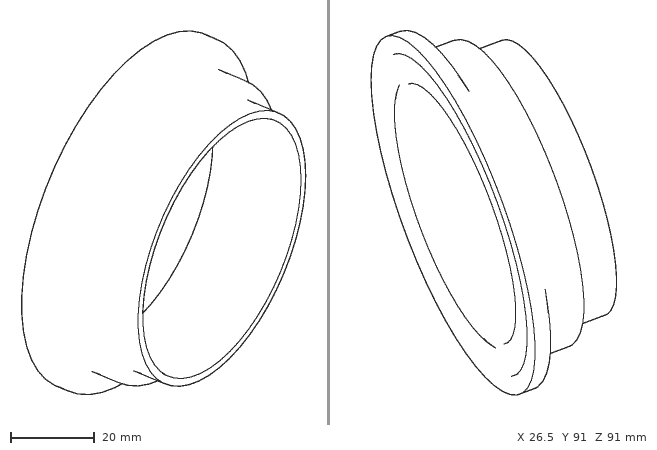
import cadquery as cq
import math

length = 26.5
flange_radius = 91 / 2
body_radius = 78 / 2
tube_radius = 70 / 2
bore_radius = 66 / 2

rim_width = 3.5
rim_round = 1.0
taper_angle = 20
neck_fillet = 2.0
neck_end = 7.9

shoulder_start = 15.0
shoulder_end = 18.1
shoulder_pull = 2.8

recess_radius = 81.7 / 2
recess_depth = 1.6
recess_edge_round = 0.3
recess_floor_fillet = 0.3

groove_outer_radius = 37.45
groove_edge_round = 0.6
groove_arc_radius = 2.5
groove_entry_angle = 22
groove_exit_angle = 48

lip_outer_round = 1.0
lip_inner_round = 0.5


def arc_point(centre, radius, angle):
    """Point on an arc; the angle in degrees turns from +X (axial) toward the radial direction."""
    turn = math.radians(angle)
    return (centre[0] + radius * math.cos(turn), centre[1] + radius * math.sin(turn))


def add_arc(path, centre, radius, start_angle, end_angle):
    """Continue the path along a circular arc from one angle to another, in degrees."""
    middle = arc_point(centre, radius, (start_angle + end_angle) / 2)
    return path.threePointArc(middle, arc_point(centre, radius, end_angle))


def add_flange(path):
    """Rim, rounded corner, tapered back and the fillet into the body."""
    rim_centre = (rim_width, flange_radius - rim_round)
    neck_centre = (neck_end, body_radius + neck_fillet)
    path = path.lineTo(0, flange_radius).lineTo(rim_width, flange_radius)
    path = add_arc(path, rim_centre, rim_round, 90, taper_angle)
    path = path.lineTo(*arc_point(neck_centre, neck_fillet, 180 + taper_angle))
    return add_arc(path, neck_centre, neck_fillet, 180 + taper_angle, 270)


def add_body_and_tube(path):
    """Body, smooth step down to the tube, tube end and the bore back to the lip."""
    path = path.lineTo(shoulder_start, body_radius)
    path = path.bezier([
        (shoulder_start, body_radius),
        (shoulder_start + shoulder_pull, body_radius),
        (shoulder_end - shoulder_pull, tube_radius),
        (shoulder_end, tube_radius),
    ])
    path = path.lineTo(length, tube_radius).lineTo(length, bore_radius)
    return path.lineTo(lip_x + lip_inner_round, bore_radius)


def add_lip_and_groove(path):
    """Rounded lip at the bore, then the seal groove out to the recess floor."""
    lip_inner_centre = (lip_x + lip_inner_round, bore_radius + lip_inner_round)
    path = add_arc(path, lip_inner_centre, lip_inner_round, 270, 180)
    path = path.lineTo(lip_x, lip_outer_centre[1])
    path = add_arc(path, lip_outer_centre, lip_outer_round, 180, 180 - groove_exit_angle)
    path = add_arc(path, groove_centre, groove_arc_radius, -groove_exit_angle, groove_entry_angle)
    return add_arc(path, groove_edge_centre, groove_edge_round, 180 + groove_entry_angle, 180)


def add_recess(path):
    """Recess floor and its wall, filleted at the floor and rounded at the sealing face."""
    floor_centre = (recess_depth - recess_floor_fillet, recess_radius - recess_floor_fillet)
    path = path.lineTo(recess_depth, floor_centre[1])
    path = add_arc(path, floor_centre, recess_floor_fillet, 0, 90)
    path = path.lineTo(recess_edge_round, recess_radius)
    return add_arc(path, recess_edge_centre, recess_edge_round, 270, 180)


recess_edge_centre = (recess_edge_round, recess_radius + recess_edge_round)

groove_edge_centre = (recess_depth + groove_edge_round, groove_outer_radius)
groove_centre = arc_point(
    groove_edge_centre, groove_edge_round + groove_arc_radius, 180 + groove_entry_angle
)
lip_outer_centre = arc_point(groove_centre, groove_arc_radius + lip_outer_round, -groove_exit_angle)
lip_x = lip_outer_centre[0] - lip_outer_round

section = cq.Workplane("XY").moveTo(0, recess_edge_centre[1])
section = add_flange(section)
section = add_body_and_tube(section)
section = add_lip_and_groove(section)
section = add_recess(section).close()

result = section.revolve(360, (0, 0, 0), (1, 0, 0))